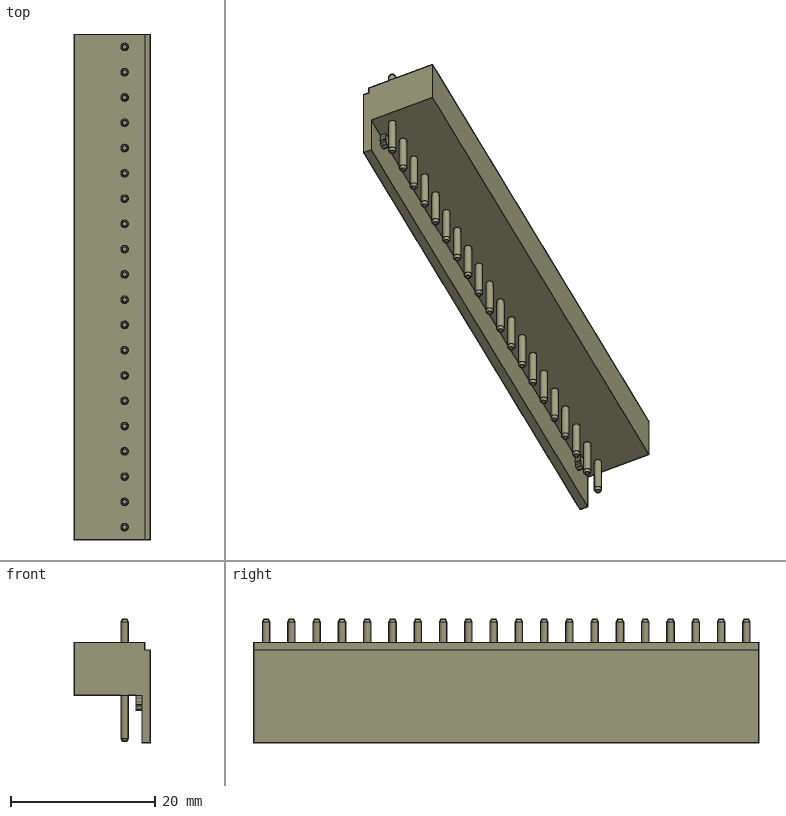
import cadquery as cq

length = 70.0
depth = 10.6
wall_height = 12.9
body_bottom = 6.6
body_top = 13.9
wall_thickness = 1.2
step_depth = 0.8

pin_count = 20
pin_pitch = length / pin_count
pin_diameter = 1.05
pin_x = 7.0
pin_bottom = 0.2
pin_top = 17.15
pin_taper_length = 0.4
pin_taper_inset = 0.2

key_end_distance = pin_pitch
key_width = 1.05
key_bulge_width = 1.25
key_bulge_start = 6.15
key_bulge_top = 5.75
key_bulge_bottom = 5.3
key_bulge_end = 5.1
key_bottom = 4.5
key_corner = 0.2
key_projection = 0.85

wall_x = depth - wall_thickness


def make_housing():
    step_x = depth - step_depth
    profile = [
        (0, body_bottom),
        (0, body_top),
        (step_x, body_top),
        (step_x, wall_height),
        (depth, wall_height),
        (depth, 0),
        (wall_x, 0),
        (wall_x, body_bottom),
    ]
    return cq.Workplane("XZ").polyline(profile).close().extrude(-length)


def make_pin(y):
    return (
        cq.Workplane("XY", origin=(pin_x, y, pin_bottom))
        .circle(pin_diameter / 2)
        .extrude(pin_top - pin_bottom)
        .faces("<Z or >Z")
        .chamfer(pin_taper_length, pin_taper_inset)
    )


def make_key(y):
    half_width = key_width / 2
    half_bulge = key_bulge_width / 2
    half_outline = [
        (half_width, body_bottom),
        (half_width, key_bulge_start),
        (half_bulge, key_bulge_top),
        (half_bulge, key_bulge_bottom),
        (half_width, key_bulge_end),
        (half_width, key_bottom + key_corner),
        (half_width - key_corner, key_bottom),
    ]
    mirrored_half = [(-side, z) for side, z in reversed(half_outline)]
    return (
        cq.Workplane("YZ", origin=(wall_x - key_projection, y, 0))
        .polyline(half_outline + mirrored_half)
        .close()
        .extrude(key_projection + wall_thickness / 2)
    )


result = make_housing()
for pin_index in range(pin_count):
    result = result.union(make_pin((pin_index + 0.5) * pin_pitch))
for key_y in (key_end_distance, length - key_end_distance):
    result = result.union(make_key(key_y))